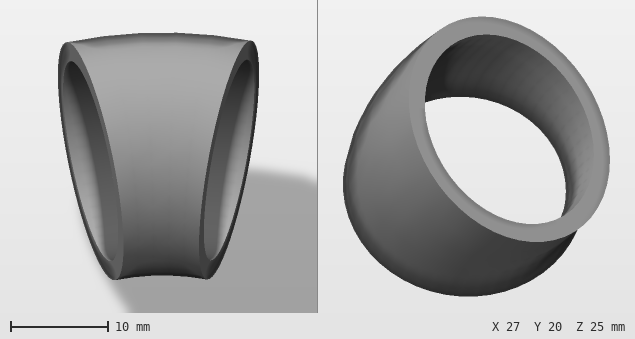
import cadquery as cq
import math

overall_width = 27.0
bend_angle = 30.0
bend_radius_factor = 1.1
wall_thickness = 2.0

angle_cosine = math.cos(math.radians(bend_angle))
width_per_diameter = (1 + angle_cosine) / 2 + bend_radius_factor * (1 - angle_cosine)
outer_radius = overall_width / width_per_diameter / 2
inner_radius = outer_radius - wall_thickness
bend_radius = bend_radius_factor * 2 * outer_radius


def make_bend():
    """Sweep the pipe ring from the XZ plane around a Z-parallel axis on the +X side."""
    ring = cq.Workplane("XZ").circle(outer_radius).circle(inner_radius)
    return ring.revolve(bend_angle, (bend_radius, 0.27, 0), (bend_radius, 0, 0))


result = make_bend()